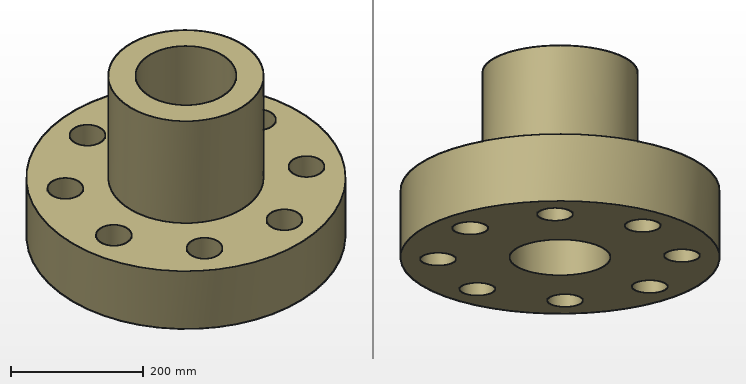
import cadquery as cq

flange_diameter = 482.5
flange_thickness = 108.0

total_height = 298.2
hub_diameter = 235.0
bore_diameter = 152.5

bolt_count = 8
bolt_circle_diameter = 368.5
bolt_hole_diameter = 54.0


def cylinder(diameter, height):
    """Upright cylinder standing on the bottom face of the flange."""
    return cq.Workplane("XY").circle(diameter / 2).extrude(height)


flange = cylinder(flange_diameter, flange_thickness)
hub = cylinder(hub_diameter, total_height)
bore = cylinder(bore_diameter, total_height)

bolt_holes = (
    cq.Workplane("XY")
    .polarArray(bolt_circle_diameter / 2, 0, 360, bolt_count)
    .circle(bolt_hole_diameter / 2)
    .extrude(flange_thickness)
)

result = flange.union(hub).cut(bore).cut(bolt_holes)